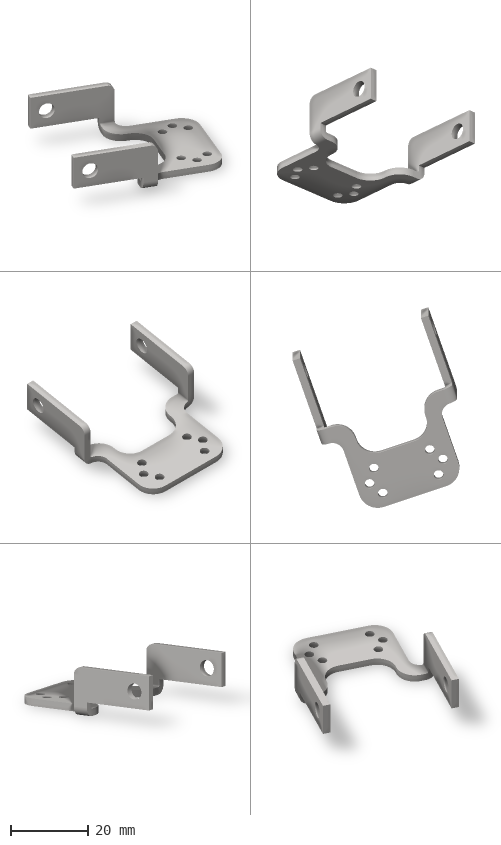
import cadquery as cq

thickness = 2.0
outer_width = 37.0
length = 43.5
height = 13.0
bend_inner_radius = 0.5
bend_outer_radius = bend_inner_radius + thickness

plate_width = 27.0
plate_corner_radius = 5.0
neck_radius = 3.0

notch_width = 18.95
notch_depth_from_back = 14.0
notch_radius = 5.0

tab_back = 22.95
tab_length = 4.0
tab_front = tab_back - tab_length

arm_bottom = 4.0
arm_corner_radius = 2.0
arm_hole_diameter = 4.25
arm_hole_from_end = 4.5

mount_hole_diameter = 2.5
mount_center_from_back = 7.0
middle_hole_spacing = 20.0
outer_hole_spacing_x = 15.22
outer_hole_spacing_y = 7.05

pick_margin = 0.1


def make_channel():
    """U-shaped bent sheet, extruded along the full length."""
    def block(width, bottom, radius):
        return (
            cq.Workplane("XY")
            .box(width, length, height, centered=(True, False, False))
            .edges("|Y and <Z")
            .fillet(radius)
            .translate((0, 0, bottom))
        )

    outside = block(outer_width, 0, bend_outer_radius)
    inside = block(outer_width - 2 * thickness, thickness, bend_inner_radius)
    return outside.cut(inside)


def make_flat_outline():
    """Plan of the plate with its notch and the two tabs, through the full height."""
    half_plate = plate_width / 2
    half_notch = notch_width / 2
    half_width = outer_width / 2
    notch_back = length - notch_depth_from_back
    outline = (
        cq.Workplane("XY")
        .moveTo(-half_plate, length)
        .lineTo(half_plate, length)
        .lineTo(half_plate, tab_back)
        .lineTo(half_width, tab_back)
        .lineTo(half_width, tab_front)
        .lineTo(half_notch, tab_front)
        .lineTo(half_notch, notch_back)
        .lineTo(-half_notch, notch_back)
        .lineTo(-half_notch, tab_front)
        .lineTo(-half_width, tab_front)
        .lineTo(-half_width, tab_back)
        .lineTo(-half_plate, tab_back)
        .close()
        .extrude(height)
    )

    def corners(half_x, y):
        """Select the mirrored pair of vertical edges at +/- half_x."""
        pair = [
            cq.selectors.BoxSelector(
                (x - pick_margin, y - pick_margin, 0), (x + pick_margin, y + pick_margin, height)
            )
            for x in (-half_x, half_x)
        ]
        return pair[0] + pair[1]

    outline = outline.edges(corners(half_plate, length)).fillet(plate_corner_radius)
    outline = outline.edges(corners(half_plate, tab_back)).fillet(neck_radius)
    outline = outline.edges(corners(half_notch, notch_back)).fillet(notch_radius)
    return outline.edges(corners(half_notch, tab_front)).fillet(notch_radius)


def make_arm_envelope():
    """Side profile of the arms, spanning the full width."""
    return (
        cq.Workplane("YZ")
        .moveTo(0, arm_bottom)
        .lineTo(tab_front, arm_bottom)
        .lineTo(tab_front, 0)
        .lineTo(tab_back, 0)
        .lineTo(tab_back, height - arm_corner_radius)
        .radiusArc((tab_back - arm_corner_radius, height), -arm_corner_radius)
        .lineTo(0, height)
        .close()
        .extrude(outer_width / 2, both=True)
    )


def make_mount_holes():
    center_y = length - mount_center_from_back
    half_x = outer_hole_spacing_x / 2
    half_y = outer_hole_spacing_y / 2
    points = []
    for side in (-1, 1):
        points.append((side * middle_hole_spacing / 2, center_y))
        points.append((side * half_x, center_y - half_y))
        points.append((side * half_x, center_y + half_y))
    return cq.Workplane("XY").pushPoints(points).circle(mount_hole_diameter / 2).extrude(thickness)


def make_arm_holes():
    return (
        cq.Workplane("YZ")
        .center(arm_hole_from_end, (arm_bottom + height) / 2)
        .circle(arm_hole_diameter / 2)
        .extrude(outer_width / 2, both=True)
    )


channel = make_channel()
center_zone_width = outer_width - 2 * bend_outer_radius
center_zone = cq.Workplane("XY").box(
    center_zone_width, length, height, centered=(True, False, False)
)
plate = channel.intersect(center_zone).intersect(make_flat_outline())
arms = channel.cut(center_zone).intersect(make_arm_envelope())
result = plate.union(arms).cut(make_mount_holes()).cut(make_arm_holes())